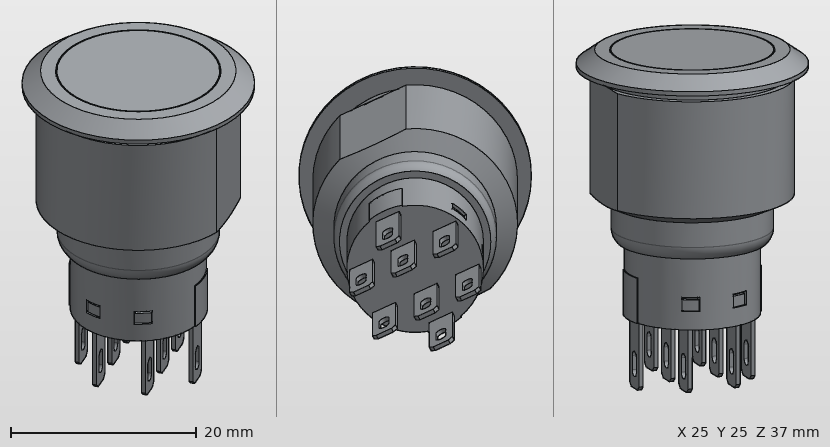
import cadquery as cq
import math


flange_diameter = 25.0
flange_thickness = 0.48
face_diameter = 21.0
bezel_height = 1.92
button_diameter = 17.5
button_bore_diameter = 17.75
button_gap_depth = 0.37

neck_diameter = 20.5
neck_depth = 1.05
barrel_diameter = 22.0
barrel_flat_width = 20.55
barrel_depth = 14.02
taper_depth = 15.05
collar_diameter = 17.5
collar_depth = 19.25
collar_edge_radius = 2.0
collar_edge_height = 1.45

housing_diameter = 14.7
housing_depth = 27.35
rib_diameter = 14.95
rib_width = 3.95
rib_height = 5.05

core_diameter = 13.3
window_inner_x = 1.92
window_outer_x = 3.75
window_bottom_depth = 25.27
window_height = 1.55
latch_diameter = 14.2
latch_top_gap = 0.35
latch_side_gap = 0.1

terminal_thickness = 0.48
terminal_width = 2.78
terminal_chamfer = 0.48
terminal_pitch_y = 5.0
short_terminal_x = 2.78
long_terminal_x = 6.48
short_terminal_length = 7.15
long_terminal_length = 7.75
terminal_embed = 0.75
eye_width = 1.2
eye_length = 2.78
eye_end_gap = 1.35


def disc(diameter, bottom, top):
    """Cylinder on the Z axis between two heights."""
    return cq.Workplane("XY").workplane(offset=bottom).circle(diameter / 2).extrude(top - bottom)


def block(x_min, x_max, y_min, y_max, z_min, z_max):
    """Box given by its limits along each axis."""
    size = (x_max - x_min, y_max - y_min, z_max - z_min)
    return cq.Workplane("XY").box(*size, centered=False).translate((x_min, y_min, z_min))


def make_bezel():
    """Flange with a conical rim and a ring gap around the flush button."""
    bezel = (
        cq.Workplane("XZ")
        .moveTo(0, 0)
        .lineTo(flange_diameter / 2, 0)
        .lineTo(flange_diameter / 2, flange_thickness)
        .lineTo(face_diameter / 2, bezel_height)
        .lineTo(0, bezel_height)
        .close()
        .revolve(360, (0, 0, 0), (0, 1, 0))
    )
    gap_floor = bezel_height - button_gap_depth
    gap = disc(button_bore_diameter, gap_floor, bezel_height).cut(
        disc(button_diameter, gap_floor, bezel_height)
    )
    return bezel.cut(gap)


def make_barrel():
    """Tapered barrel with two flats facing -X and +X."""
    barrel = (
        cq.Workplane("XZ")
        .moveTo(0, -neck_depth)
        .lineTo(barrel_diameter / 2, -neck_depth)
        .lineTo(barrel_diameter / 2, -barrel_depth)
        .lineTo(collar_diameter / 2, -taper_depth)
        .lineTo(0, -taper_depth)
        .close()
        .revolve(360, (0, 0, 0), (0, 1, 0))
    )
    half_flats = barrel_flat_width / 2
    half_barrel = barrel_diameter / 2
    between_flats = block(-half_flats, half_flats, -half_barrel, half_barrel, -taper_depth, -neck_depth)
    return barrel.intersect(between_flats)


def make_collar():
    """Collar whose lower edge curves inward, starting tangent to its side."""
    radius = collar_diameter / 2
    arc_center = radius - collar_edge_radius
    arc_top = collar_edge_height - collar_depth

    def arc_point(drop):
        return (arc_center + math.sqrt(collar_edge_radius**2 - drop**2), arc_top - drop)

    return (
        cq.Workplane("XZ")
        .moveTo(0, -taper_depth)
        .lineTo(radius, -taper_depth)
        .lineTo(radius, arc_top)
        .threePointArc(arc_point(collar_edge_height / 2), arc_point(collar_edge_height))
        .lineTo(0, -collar_depth)
        .close()
        .revolve(360, (0, 0, 0), (0, 1, 0))
    )


def make_housing():
    """Contact housing with curved ribs on its -X and +X sides and four latch windows."""
    housing = disc(housing_diameter, -housing_depth, -collar_depth)
    half_rib = rib_width / 2
    rib_reach = rib_diameter / 2
    rib_top = rib_height - housing_depth
    ribs = disc(rib_diameter, -housing_depth, rib_top).intersect(
        block(-rib_reach, rib_reach, -half_rib, half_rib, -housing_depth, rib_top)
    )
    housing = housing.union(ribs)

    bottom = -window_bottom_depth
    top = bottom + window_height
    latch_top = top - latch_top_gap
    latch_outer_x = window_outer_x - latch_side_gap
    reach = housing_diameter / 2
    window = block(window_inner_x, window_outer_x, 0, reach, bottom, top).cut(
        disc(core_diameter, bottom, top)
    )
    latch = block(window_inner_x, latch_outer_x, 0, reach, bottom, latch_top).intersect(
        disc(latch_diameter, bottom, latch_top)
    )
    recess = window.cut(latch)
    recess_pair = recess.union(recess.mirror("YZ"))
    return housing.cut(recess_pair).cut(recess_pair.mirror("XZ"))


def make_terminal(x, y, length):
    """Flat terminal normal to X, with chamfered tip corners and a slotted eye."""
    tip = -housing_depth - length
    blade = block(
        -terminal_thickness / 2, terminal_thickness / 2,
        -terminal_width / 2, terminal_width / 2,
        tip, terminal_embed - housing_depth,
    )
    blade = blade.faces("<Z").edges("|X").chamfer(terminal_chamfer)
    eye = (
        cq.Workplane("YZ")
        .center(0, tip + eye_end_gap + eye_length / 2)
        .slot2D(eye_length, eye_width, 90)
        .extrude(terminal_thickness, both=True)
    )
    return blade.cut(eye).translate((x, y, 0))


result = (
    make_bezel()
    .union(disc(neck_diameter, -neck_depth, 0))
    .union(make_barrel())
    .union(make_collar())
    .union(make_housing())
)

for side in (-1, 1):
    result = result.union(make_terminal(side * long_terminal_x, 0, long_terminal_length))
    for row in (-1, 0, 1):
        terminal = make_terminal(side * short_terminal_x, row * terminal_pitch_y, short_terminal_length)
        result = result.union(terminal)